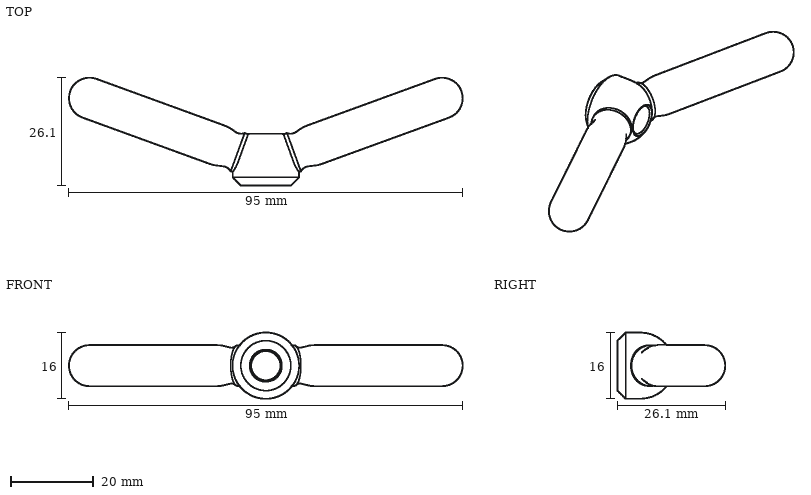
import cadquery as cq
import math

hub_diameter = 16.0
hub_radius = hub_diameter / 2
base_chamfer = 2.0
dome_start = 5.6
hub_height = 12.5
bore_radius = 3.5
bore_chamfer = 0.4

handle_angle = 20
handle_diameter = 10.0
handle_radius = handle_diameter / 2
handle_reach = 47.5
neck_end = 12.5
shoulder = 9.5
waist = 8.5
collar_end = 7.2
shoulder_radius = 4.5
waist_radius = 4.4
collar_radius = 4.9
handle_root = 4.7

tip_centre = (handle_reach - handle_radius) / math.cos(math.radians(handle_angle))


def make_hub():
    dome_top_radius = math.sqrt(hub_radius**2 - (hub_height - dome_start) ** 2)
    mid_angle = math.asin((hub_height - dome_start) / hub_radius) / 2
    dome_mid = (
        hub_radius * math.cos(mid_angle),
        dome_start + hub_radius * math.sin(mid_angle),
    )
    return (
        cq.Workplane("XY")
        .moveTo(0, 0)
        .lineTo(hub_radius - base_chamfer, 0)
        .lineTo(hub_radius, base_chamfer)
        .lineTo(hub_radius, dome_start)
        .threePointArc(dome_mid, (dome_top_radius, hub_height))
        .lineTo(0, hub_height)
        .close()
        .revolve(360, (0, 0), (0, 1))
    )


def make_handle():
    """Handle along +X with a waisted neck and a round tip, tilted about Z."""
    shoulder_length = neck_end - shoulder
    shoulder_drop = handle_radius - shoulder_radius
    shoulder_arc = (shoulder_length**2 + shoulder_drop**2) / (2 * shoulder_drop)
    shoulder_half_angle = math.asin(shoulder_length / shoulder_arc) / 2
    shoulder_mid = neck_end - shoulder_arc * math.sin(shoulder_half_angle)
    shoulder_mid_radius = handle_radius - shoulder_arc * (1 - math.cos(shoulder_half_angle))
    tip_mid = handle_radius * math.sqrt(0.5)
    return (
        cq.Workplane("XY")
        .moveTo(handle_root, 0)
        .lineTo(handle_root, collar_radius)
        .lineTo(collar_end, collar_radius)
        .threePointArc((waist, waist_radius), (shoulder, shoulder_radius))
        .threePointArc((shoulder_mid, shoulder_mid_radius), (neck_end, handle_radius))
        .lineTo(tip_centre, handle_radius)
        .threePointArc((tip_centre + tip_mid, tip_mid), (tip_centre + handle_radius, 0))
        .close()
        .revolve(360, (0, 0), (1, 0))
        .rotate((0, 0, 0), (0, 0, 1), handle_angle)
        .translate((0, dome_start, 0))
    )


def make_bore():
    mouth_radius = bore_radius + bore_chamfer
    return (
        cq.Workplane("XY")
        .lineTo(mouth_radius, 0)
        .lineTo(bore_radius, bore_chamfer)
        .lineTo(bore_radius, hub_height - bore_chamfer)
        .lineTo(mouth_radius, hub_height)
        .lineTo(0, hub_height)
        .close()
        .revolve(360, (0, 0), (0, 1))
    )


handle = make_handle()
result = make_hub().union(handle).union(handle.mirror("YZ")).cut(make_bore())